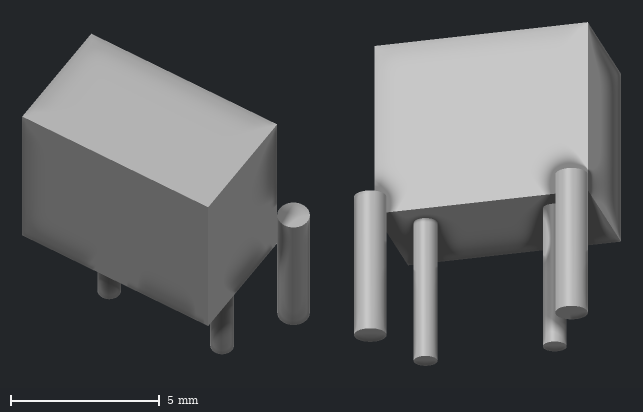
import cadquery as cq

overall_depth = 6.2
overall_height = 11.3

housing_width = 7.41
housing_depth = 4.32
housing_height = 6.2

pin_length = overall_height - housing_height
lead_diameter = 0.8
lead_spacing = 4.5
post_diameter = 1.1
post_spacing = 7.01
row_spacing = 2.5

post_y = overall_depth - post_diameter / 2
lead_y = post_y - row_spacing


def make_housing():
    """Plain block, centred in X, standing on Z = 0."""
    return cq.Workplane("XY").box(
        housing_width, housing_depth, housing_height, centered=(True, False, False)
    )


def make_pin(diameter, x, y):
    """Round vertical pin whose top end lies at Z = 0."""
    return cq.Workplane("XY").center(x, y).circle(diameter / 2).extrude(-pin_length)


housing = make_housing()

leads = []
posts = []
for side in (-1, 1):
    leads.append(make_pin(lead_diameter, side * lead_spacing / 2, lead_y).val())
    posts.append(make_pin(post_diameter, side * post_spacing / 2, post_y).val())

result = cq.Compound.makeCompound([housing.val(), *leads, *posts])